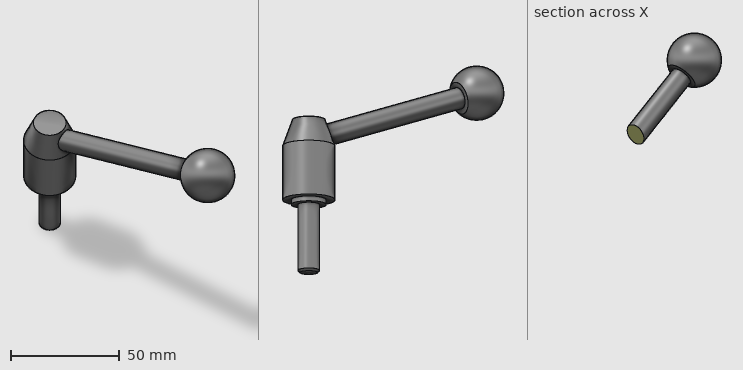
import cadquery as cq
import math

stud_diameter = 10.0
stud_length = 32.0
stud_chamfer = 1.0

collar_diameter = 16.0
collar_height = 2.3
hub_diameter = 24.0
hub_cylinder_height = 25.4
hub_cone_height = 12.4
hub_top_diameter = 15.0

arm_diameter = 10.0
arm_angle = 20.0
ball_diameter = 25.0
ball_flat_diameter = 15.0
overall_length = 112.7
overall_height = 107.0

collar_top = stud_length + collar_height
cone_base = collar_top + hub_cylinder_height
hub_top = cone_base + hub_cone_height

ball_radius = ball_diameter / 2
ball_x = overall_length - hub_diameter / 2 - ball_radius
ball_z = overall_height - ball_radius
arm_length = ball_x / math.cos(math.radians(arm_angle))
flat_distance = math.sqrt(ball_radius**2 - (ball_flat_diameter / 2) ** 2)


def make_post():
    """Stud, collar and tapered hub, turned about the Z axis."""
    stud_radius = stud_diameter / 2
    profile = [
        (0, 0),
        (stud_radius - stud_chamfer, 0),
        (stud_radius, stud_chamfer),
        (stud_radius, stud_length),
        (collar_diameter / 2, stud_length),
        (collar_diameter / 2, collar_top),
        (hub_diameter / 2, collar_top),
        (hub_diameter / 2, cone_base),
        (hub_top_diameter / 2, hub_top),
        (0, hub_top),
    ]
    return cq.Workplane("XZ").polyline(profile).close().revolve(360, (0, 0), (0, 1))


def make_arm_and_ball():
    """Arm from the hub axis to the ball centre, with a flat on the ball around the arm."""
    arm = cq.Workplane("YZ").circle(arm_diameter / 2).extrude(-arm_length)
    ball = (
        cq.Workplane("XY")
        .moveTo(-flat_distance, 0)
        .lineTo(-flat_distance, ball_flat_diameter / 2)
        .threePointArc((0, ball_radius), (ball_radius, 0))
        .close()
        .revolve(360, (0, 0), (1, 0))
    )
    handle = arm.union(ball)
    return handle.rotate((0, 0, 0), (0, 1, 0), -arm_angle).translate((ball_x, 0, ball_z))


result = make_post().union(make_arm_and_ball())